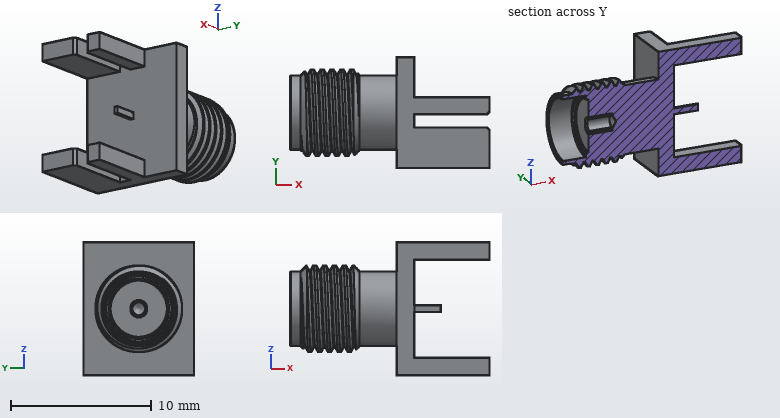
import cadquery as cq
import math


total_length = 14.27
flange_width = 7.92
flange_height = 9.52

flange_front = 7.62
flange_thickness = 1.27
flange_back = flange_front + flange_thickness
leg_thickness = 1.27
leg_top = 1.12

tail_length = 1.9
tail_width = 0.5
tail_thickness = 0.25

slot_top = -tail_thickness / 2
slot_width = 0.92
slot_bottom = slot_top - slot_width
slot_chamfer = 0.2

barrel_radius = 2.665
barrel_chamfer = 0.1

thread_radius = 3.1
thread_root_radius = 2.72
thread_pitch = 25.4 / 36
thread_crest_width = 0.18
thread_root_width = 0.08
thread_start = 0.78
thread_end = 4.98
thread_lead_in = thread_radius - barrel_radius
crest_offset = 1.78
groove_clearance = 0.1

bore_radius = 2.34
bore_chamfer = 0.09
bore_depth = 1.88
seat_outer_radius = 2.165
seat_radius = 2.01
seat_taper_depth = 0.1
dielectric_depth = 2.1

socket_radius = 0.47
socket_chamfer = 0.13
socket_depth = 1.9
socket_tip_depth = 0.27
contact_radius = 0.635
socket_slot_width = 0.25


def revolve_about_axis(points):
    """Revolve a closed profile of (x, radius) points about the X axis."""
    profile = cq.Workplane("XY").polyline(points).close()
    return profile.revolve(360, (0, 0, 0), (1, 0, 0))


def make_barrel():
    return revolve_about_axis([
        (0, 0),
        (0, barrel_radius - barrel_chamfer),
        (barrel_chamfer, barrel_radius),
        (flange_front, barrel_radius),
        (flange_front, 0),
    ])


def make_thread():
    """Collar with chamfered ends and one helical groove cut along its length."""
    collar = revolve_about_axis([
        (thread_start, 0),
        (thread_start, barrel_radius),
        (thread_start + thread_lead_in, thread_radius),
        (thread_end - thread_lead_in, thread_radius),
        (thread_end, barrel_radius),
        (thread_end, 0),
    ])
    groove_width = thread_pitch - thread_crest_width
    flank_slope = (groove_width - thread_root_width) / 2 / (thread_radius - thread_root_radius)
    cutter_half_width = groove_width / 2 + flank_slope * groove_clearance
    cutter_radius = thread_radius + groove_clearance
    whole_turns_before = 2
    groove_start = crest_offset - (whole_turns_before + 0.5) * thread_pitch
    groove_turns = math.ceil((thread_end + thread_pitch / 2 - groove_start) / thread_pitch)

    helix = cq.Wire.makeHelix(thread_pitch, thread_pitch, thread_root_radius)
    swept = (
        cq.Workplane("XZ")
        .polyline([
            (thread_root_radius, -thread_root_width / 2),
            (cutter_radius, -cutter_half_width),
            (cutter_radius, cutter_half_width),
            (thread_root_radius, thread_root_width / 2),
        ])
        .close()
        .sweep(cq.Workplane(helix), isFrenet=True)
        .rotate((0, 0, 0), (1, 0, 1), 180)
    )
    groove_turn = cq.Workplane(cq.Solid(swept.val().wrapped.Reversed()))
    for turn in range(groove_turns):
        collar = collar.cut(groove_turn.translate((groove_start + turn * thread_pitch, 0, 0)))
    return collar


def make_flange():
    return cq.Workplane("XY").box(
        flange_thickness, flange_width, flange_height, centered=(False, True, True)
    ).translate((flange_front, 0, 0))


def make_leg(bottom):
    """One slotted leg, forked to straddle the board, with its lower face at Z = bottom."""
    lower_edge = -flange_width / 2
    outline = [
        (flange_front, lower_edge),
        (total_length, lower_edge),
        (total_length, slot_bottom - slot_chamfer),
        (total_length - slot_chamfer, slot_bottom),
        (flange_back, slot_bottom),
        (flange_back, slot_top),
        (total_length - slot_chamfer, slot_top),
        (total_length, slot_top + slot_chamfer),
        (total_length, leg_top),
        (flange_front, leg_top),
    ]
    return cq.Workplane("XY").workplane(offset=bottom).polyline(outline).close().extrude(leg_thickness)


def make_tail():
    return cq.Workplane("XY").box(
        tail_length, tail_thickness, tail_width, centered=(False, True, True)
    ).translate((flange_back, 0, 0))


def make_bore():
    return revolve_about_axis([
        (0, 0),
        (0, bore_radius + bore_chamfer),
        (bore_chamfer, bore_radius),
        (bore_depth, bore_radius),
        (bore_depth, seat_outer_radius),
        (bore_depth + seat_taper_depth, seat_radius),
        (dielectric_depth, seat_radius),
        (dielectric_depth, 0),
    ])


def make_socket():
    """Countersunk hole with a conical bottom and a narrow slot across it."""
    socket_end = dielectric_depth + socket_depth
    hole = revolve_about_axis([
        (dielectric_depth, 0),
        (dielectric_depth, socket_radius + socket_chamfer),
        (dielectric_depth + socket_chamfer, socket_radius),
        (socket_end, socket_radius),
        (socket_end + socket_tip_depth, 0),
    ])
    face = cq.Workplane("YZ").workplane(offset=dielectric_depth)
    contact = face.circle(contact_radius).extrude(socket_depth)
    slot = (
        face.rect(socket_slot_width, 2 * contact_radius)
        .extrude(socket_depth)
        .intersect(contact)
    )
    return hole.union(slot)


body = make_barrel().union(make_thread()).union(make_flange()).union(make_tail())
for leg_bottom in (-flange_height / 2, flange_height / 2 - leg_thickness):
    body = body.union(make_leg(leg_bottom))
result = body.cut(make_bore()).cut(make_socket())